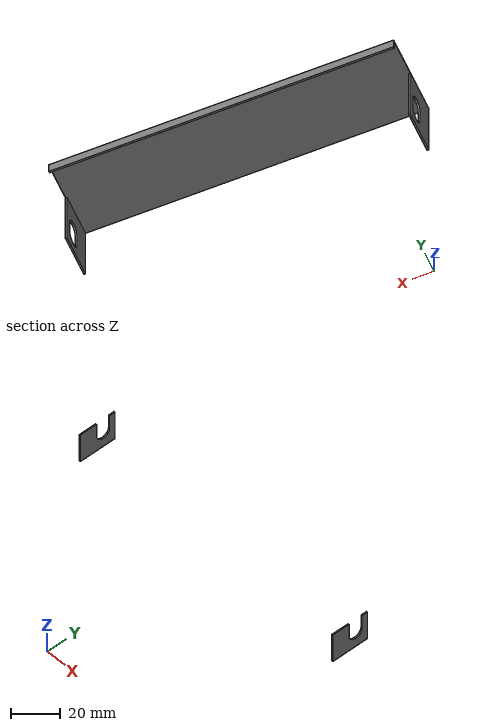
import cadquery as cq

sheet_thickness = 0.8
plate_length = 151.6
depth = 35.8
height = 30.8
lip_drop = 5.0
tab_width = 19.0

slot_width = 7.0
slot_height = 15.0
slot_center_y = 12.5
slot_center_z = -18.55


def corner_box(size_x, size_y, size_z, corner):
    """Box grown in +X, +Y and +Z from its lowest corner."""
    return cq.Workplane("XY").box(size_x, size_y, size_z, centered=False).translate(corner)


def top_plate():
    return corner_box(plate_length, depth, sheet_thickness, (0, 0, -sheet_thickness))


def rear_lip():
    """Strip turned down along the rear edge of the plate."""
    return corner_box(plate_length, sheet_thickness, lip_drop, (0, depth - sheet_thickness, -lip_drop))


def slotted_end_tab(start_x):
    """Leg hanging from one end of the plate, flush with its front edge."""
    tab = corner_box(sheet_thickness, tab_width, height, (start_x, 0, -height))
    slot = (
        cq.Workplane("YZ", origin=(start_x, slot_center_y, slot_center_z))
        .slot2D(slot_height, slot_width, 90)
        .extrude(sheet_thickness)
    )
    return tab.cut(slot)


result = top_plate().union(rear_lip())
for tab_start in (0, plate_length - sheet_thickness):
    result = result.union(slotted_end_tab(tab_start))